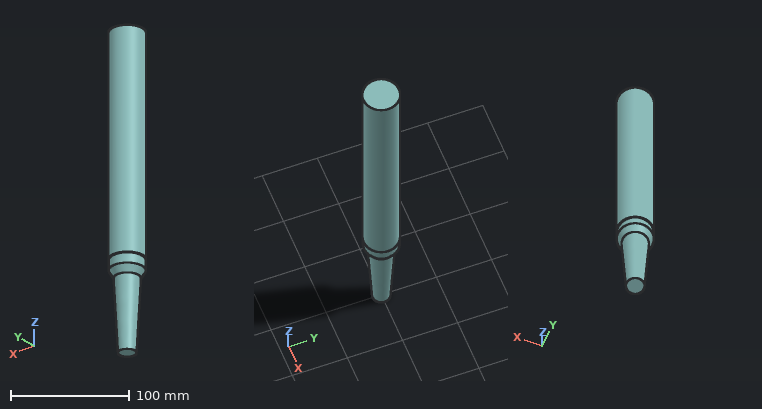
import cadquery as cq

total_length = 300.0
handle_diameter = 32.0
collar_diameter = 31.5
neck_diameter = 23.0
tip_diameter = 16.0

taper_length = 67.2
neck_length = 2.7
shoulder_length = 7.2
collar_length = 9.5
step_length = 0.5

neck_bottom = taper_length
shoulder_bottom = neck_bottom + neck_length
collar_bottom = shoulder_bottom + shoulder_length
step_bottom = collar_bottom + collar_length
handle_bottom = step_bottom + step_length

half_profile = (
    cq.Workplane("XZ")
    .lineTo(tip_diameter / 2, 0)
    .lineTo(neck_diameter / 2, neck_bottom)
    .lineTo(neck_diameter / 2, shoulder_bottom)
    .lineTo(collar_diameter / 2, collar_bottom)
    .lineTo(collar_diameter / 2, step_bottom)
    .lineTo(handle_diameter / 2, handle_bottom)
    .lineTo(handle_diameter / 2, total_length)
    .lineTo(0, total_length)
    .close()
)

result = half_profile.revolve(360, (0, 0, 0), (0, 1, 0))